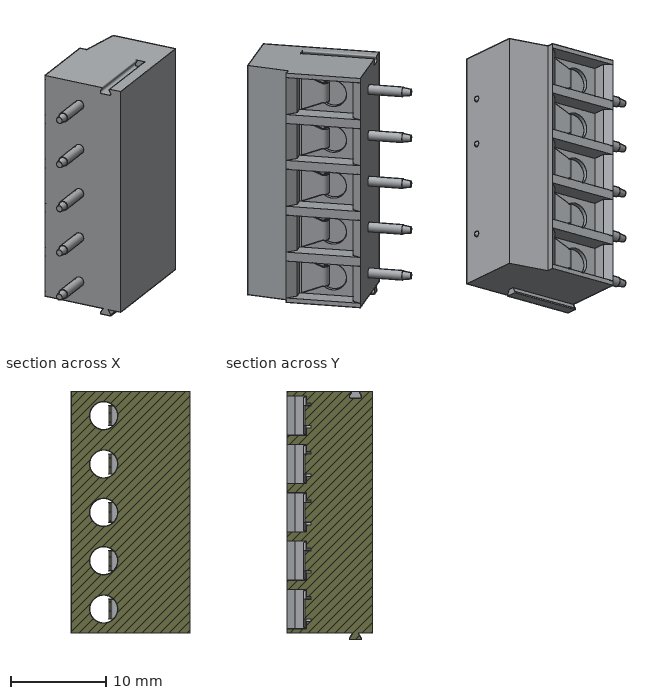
import cadquery as cq
import math

POLES = 5
BODY_X = 9.0
BODY_Y = 12.5
BODY_Z = 25.4
PITCH = BODY_Z / POLES
TOTAL_Y = 17.3
TOTAL_Z = 26.1

STEP_Y = 7.98
STEP_X = 0.8
TOP_EDGE_X = 1.6

DIVIDER = 1.0
POCKET_HEIGHT = PITCH - DIVIDER
POCKET_DEPTH = 2.0
FRONT_BEVEL_X = 0.5
FRONT_BEVEL_Y = 0.9
REAR_BEVEL_X = 0.85
REAR_BEVEL_Y = 0.97
HOLE_RADIUS = 1.45
HOLE_Y = 3.42
HOLE_BOTTOM = 2.5

GUARD_FACE = 1.75
GUARD_SHEET = 0.25
GUARD_BEND_Y = 4.44
GUARD_BEND = 0.47
GUARD_BEND_ANGLE = 78
GUARD_CURL = 0.42
GUARD_WIDE_Y = 6.84
GUARD_NARROW = 2.11
GUARD_WIDE = 4.02

DOVETAIL_X = 7.2
TONGUE_NECK = 0.63
TONGUE_WIDTH = 1.25
TONGUE_TAPER = 0.52
TONGUE_HEIGHT = TOTAL_Z - BODY_Z
GROOVE_MOUTH = 0.7
GROOVE_FLOOR = 1.51
GROOVE_DEPTH = 0.7
GROOVE_LIP = 0.1
GROOVE_CORNER = 0.18

PIN_X = 4.1
PIN_RADIUS = 0.52
PIN_TIP_LENGTH = 0.9
PIN_TIP_START_RADIUS = 0.47
PIN_TIP_END_RADIUS = 0.35
DOME_HEIGHT = 0.25
DOME_RADIUS = 0.31
DOME_LEVELS = (1, 3, 4)
PIN_LENGTH = TOTAL_Y - BODY_Y - DOME_HEIGHT


def pole_center(index):
    """Z level of the middle of a pole."""
    return (index + 0.5) * PITCH


def make_housing():
    outline = [
        (0, 0),
        (BODY_X, 0),
        (BODY_X, BODY_Y),
        (TOP_EDGE_X, BODY_Y),
        (STEP_X, STEP_Y),
        (0, STEP_Y),
    ]
    return cq.Workplane("XY").polyline(outline).close().extrude(BODY_Z)


def make_pocket(z_mid):
    """Wire-entry pocket with bevelled ends and a round blind hole in its floor."""
    rear_wall_y = STEP_Y - REAR_BEVEL_Y
    outline = [
        (0, 0),
        (FRONT_BEVEL_X, FRONT_BEVEL_Y),
        (POCKET_DEPTH, FRONT_BEVEL_Y),
        (POCKET_DEPTH, rear_wall_y),
        (REAR_BEVEL_X, rear_wall_y),
        (0, STEP_Y),
    ]
    bottom = z_mid - POCKET_HEIGHT / 2
    pocket = cq.Workplane("XY", origin=(0, 0, bottom)).polyline(outline).close().extrude(POCKET_HEIGHT)
    hole = (
        cq.Workplane("YZ", origin=(POCKET_DEPTH, HOLE_Y, z_mid))
        .circle(HOLE_RADIUS)
        .extrude(HOLE_BOTTOM - POCKET_DEPTH)
    )
    return pocket.union(hole)


def make_guard(z_mid):
    """Tapered sheet whose narrow end bends into the hole and wide end curls into the floor."""
    angle = math.radians(GUARD_BEND_ANGLE)
    bend_center_x = GUARD_FACE + GUARD_BEND
    inner_bend = GUARD_BEND - GUARD_SHEET

    def bend_end(radius):
        return (bend_center_x - radius * math.cos(angle), GUARD_BEND_Y - radius * math.sin(angle))

    def tongue_end(radius):
        start_x, start_y = bend_end(radius)
        return (HOLE_BOTTOM, start_y - (HOLE_BOTTOM - start_x) / math.tan(angle))

    back = GUARD_FACE + GUARD_SHEET
    curl_x = GUARD_FACE + GUARD_CURL
    curl_y = GUARD_WIDE_Y - GUARD_CURL
    profile = (
        cq.Workplane("XY", origin=(0, 0, z_mid - GUARD_WIDE / 2))
        .moveTo(*tongue_end(GUARD_BEND))
        .lineTo(*bend_end(GUARD_BEND))
        .radiusArc((GUARD_FACE, GUARD_BEND_Y), GUARD_BEND)
        .lineTo(GUARD_FACE, curl_y)
        .radiusArc((curl_x, GUARD_WIDE_Y), GUARD_CURL)
        .lineTo(curl_x, curl_y)
        .lineTo(back, curl_y)
        .lineTo(back, GUARD_BEND_Y)
        .radiusArc(bend_end(inner_bend), -inner_bend)
        .lineTo(*tongue_end(inner_bend))
        .close()
        .extrude(GUARD_WIDE)
    )
    narrow_end_y = GUARD_BEND_Y - 2 * GUARD_BEND
    taper = [
        (narrow_end_y, -GUARD_NARROW / 2),
        (GUARD_BEND_Y, -GUARD_NARROW / 2),
        (GUARD_WIDE_Y, -GUARD_WIDE / 2),
        (GUARD_WIDE_Y, GUARD_WIDE / 2),
        (GUARD_BEND_Y, GUARD_NARROW / 2),
        (narrow_end_y, GUARD_NARROW / 2),
    ]
    plan = cq.Workplane("YZ", origin=(0, 0, z_mid)).polyline(taper).close().extrude(HOLE_BOTTOM)
    return profile.intersect(plan)


def make_dovetail(top_z, half_outline):
    """Bar along Y below top_z, from the right half of its outline as (offset, depth) pairs."""
    right = [(offset, -depth) for offset, depth in half_outline]
    left = [(-offset, -depth) for offset, depth in reversed(half_outline)]
    return cq.Workplane("XZ", origin=(DOVETAIL_X, 0, top_z)).polyline(right + left).close().extrude(-STEP_Y)


def cut_groove(body):
    """Dovetail groove in the upper end, with rounded floor corners and mouth edges."""
    groove = make_dovetail(BODY_Z, [(GROOVE_MOUTH / 2, 0), (GROOVE_FLOOR / 2, GROOVE_DEPTH)])
    body = body.cut(groove.faces("<Z").edges("|Y").fillet(GROOVE_CORNER))
    for side in (-1, 1):
        edge_point = (DOVETAIL_X + side * GROOVE_MOUTH / 2, STEP_Y / 2, BODY_Z)
        body = body.edges(cq.selectors.NearestToPointSelector(edge_point)).fillet(GROOVE_LIP)
    return body


def make_tongue():
    """Dovetail tongue under the lower end, straight-sided below its sloped flanks."""
    half_width = TONGUE_WIDTH / 2
    return make_dovetail(0, [(TONGUE_NECK / 2, 0), (half_width, TONGUE_TAPER), (half_width, TONGUE_HEIGHT)])


def make_pin(z_mid):
    shaft_length = PIN_LENGTH - PIN_TIP_LENGTH
    profile = [
        (0, 0),
        (PIN_RADIUS, 0),
        (PIN_RADIUS, -shaft_length),
        (PIN_TIP_START_RADIUS, -shaft_length),
        (PIN_TIP_END_RADIUS, -PIN_LENGTH),
        (0, -PIN_LENGTH),
    ]
    pin = cq.Workplane("XY").polyline(profile).close().revolve(360, (0, 0, 0), (0, 1, 0))
    return pin.translate((PIN_X, 0, z_mid))


def make_dome(z_mid):
    center_y = BODY_Y + DOME_HEIGHT - DOME_RADIUS
    return cq.Workplane("XY").sphere(DOME_RADIUS).translate((DOVETAIL_X, center_y, z_mid))


result = cut_groove(make_housing())
result = result.union(make_tongue())

for pole in range(POLES):
    level = pole_center(pole)
    result = result.cut(make_pocket(level))
    result = result.union(make_guard(level))
    result = result.union(make_pin(level))

for divider in DOME_LEVELS:
    result = result.union(make_dome(divider * PITCH))